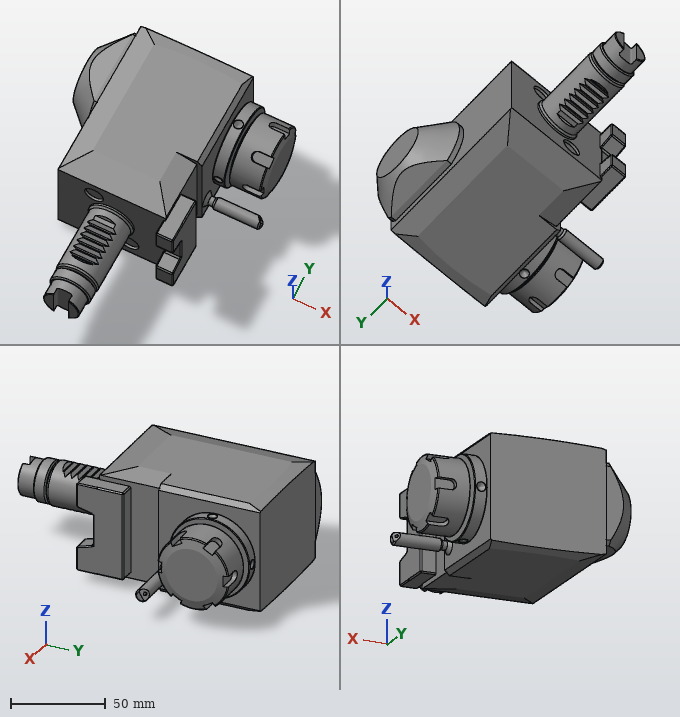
import cadquery as cq
import math


OVERLAP = 3.1

BODY_HALF = 32.0
BODY_LENGTH = 96.0
PLATE_THICK = 3.1
PLATE_START = 36.3
PLATE_CHAMFER = 2.8
PLATE_X = BODY_HALF + PLATE_THICK
BEVEL_ANGLE = math.radians(15)
SIDE_BEVEL = 12.0
SHANK_BEVEL = 16.8
SHANK_BEVEL_DROP = 3.4
REAR_BEVEL = 6.0
REAR_RADIUS = 185.4
REAR_CENTER_X = 6.0
PLUG_RADIUS = 5.5
PLUG_OFFSET = (10.5, 18.2)
PLUG_DEPTH = 1.5

SPINDLE_Y = 70.0

CAP_RADIUS = 32.0
CAP_RIM = 3.1
CAP_TAPER = 15.5
CAP_FLAT_HALF = 23.0
CAP_REAR_FLAT = 24.5

NECK_RADIUS = 17.0
COLLAR_RADIUS = 23.6
COLLAR_START = 35.8
COLLAR_END = 43.3
COLLAR_CHAMFER = 0.5
COLLAR_HOLE_X = 39.4
COLLAR_HOLE_RADIUS = 2.6
COLLAR_HOLES = 4
NUT_RADIUS = 21.0
NUT_START = 44.5
NUT_END = 64.7
NUT_EDGE_CHAMFER = 0.6
NUT_NOSE_LENGTH = 1.5
NUT_FACE_RADIUS = 15.3
NUT_SLOTS = 6
NUT_SLOT_WIDTH = 6.2
NUT_SLOT_START = 52.7
NUT_SLOT_FLOOR = 18.0

PIN_Y = 41.7
PIN_Z = -17.5
PIN_RADIUS = 3.5
PIN_END = 67.8
PIN_TIP_CHAMFER = 1.0
PIN_BASE_RADIUS = 4.8
PIN_NECK_RADIUS = 2.6
PIN_NECK_START = 37.1
PIN_NECK_END = 39.7
PIN_SHANK_START = 41.0
PIN_NOZZLE_X = 68.1
PIN_NOZZLE_OFFSET = 2.0
PIN_NOZZLE_RADIUS = 1.0
PIN_NOZZLE_DEPTH = 2.3

BLOCK_START = 30.7
BLOCK_END = 41.1
BLOCK_TOP = 18.4
BLOCK_BOTTOM = -9.3
BLOCK_HALF = 26.0
BLOCK_CHAMFER = 0.8
LUG_SIDE_CHAMFER = 0.6
GAP_FLOOR = 0.5
GAP_FOOT_Y = -0.6
GAP_HALF_FLOOR = 8.7
GAP_HALF_ROOT = 9.6
GAP_HALF_MOUTH = 11.7

SHANK_END = 58.5
SHANK_RADIUS = 12.5
FLANGE_RADIUS = 13.5
FLANGE_LENGTH = 1.1
FLANGE_TAPER_END = 2.3
SHANK_TAPER_START = 39.7
GROOVE_START = 41.0
GROOVE_END = 42.3
GROOVE_RADIUS = 10.5
GROOVE_SLOPE = 0.5
PILOT_RADIUS = 12.0
PILOT_END = 48.8
PILOT_CHAMFER = 0.8
TANG_RADIUS = 10.7
TANG_CHAMFER = 0.5
TANG_SLOT_WIDTH = 9.0
TANG_SLOT_DEPTH = 4.3
TANG_SLOT_FILLET = 1.0

TOOTH_PITCH = 4.0
TOOTH_COUNT = 6
TOOTH_CREST = 11.0
TOOTH_ROOT = 9.3
TOOTH_FIRST = 11.6
FLAT_START = 7.1
FLAT_ENTRY_SLOPE = 0.5


def box(x0, x1, y0, y1, z0, z1):
    """Axis-aligned box between two corners."""
    return cq.Workplane("XY").box(x1 - x0, y1 - y0, z1 - z0, centered=False).translate((x0, y0, z0))


def both_sides(shape):
    """The shape together with its mirror image in Z."""
    return shape.union(shape.mirror("XY"))


def turned_along_x(points, y, z):
    """Turned part about the line parallel to X through (y, z); points are (x, radius)."""
    x_first = points[0][0]
    x_last = points[-1][0]
    outline = [(x_first, 0)] + points + [(x_last, 0)]
    return cq.Workplane("XY").polyline(outline).close().revolve(360, (0, 0), (1, 0)).translate((0, y, z))


def turned_along_shank(points):
    """Turned part about the shank axis; points are (distance from the body face, radius)."""
    first = points[0][0]
    last = points[-1][0]
    outline = [(0, -first)] + [(radius, -along) for along, radius in points] + [(0, -last)]
    return cq.Workplane("XY").polyline(outline).close().revolve(360, (0, 0), (0, 1))


def side_bevel(y0, y1):
    """Cutter for the bevel along the +X, +Z edge of the body between y0 and y1."""
    drop = SIDE_BEVEL * math.tan(BEVEL_ANGLE)
    corners = [
        (BODY_HALF - SIDE_BEVEL, BODY_HALF),
        (BODY_HALF, BODY_HALF),
        (BODY_HALF, BODY_HALF - drop),
    ]
    wedge = cq.Workplane("XZ").polyline(corners).close().extrude(y0 - y1)
    return wedge.translate((0, y0, 0))


def shank_bevel():
    """Cutter for the bevel along the shank-side, +Z edge of the body."""
    corners = [(0, BODY_HALF), (SHANK_BEVEL, BODY_HALF), (0, BODY_HALF - SHANK_BEVEL_DROP)]
    wedge = cq.Workplane("YZ").polyline(corners).close().extrude(2 * BODY_HALF)
    return wedge.translate((-BODY_HALF, 0, 0))


def rear_bevel():
    """Conical cutter about a Z axis, giving the curved bevel at the rear of the body."""
    reach = BODY_HALF
    corners = [
        (REAR_RADIUS, BODY_HALF),
        (REAR_RADIUS + reach, BODY_HALF),
        (REAR_RADIUS + reach, BODY_HALF - reach * math.tan(BEVEL_ANGLE)),
    ]
    ring = cq.Workplane("XZ").polyline(corners).close().revolve(360, (0, 0), (0, 1))
    center_y = BODY_LENGTH - REAR_BEVEL - REAR_RADIUS
    return ring.translate((REAR_CENTER_X, center_y, 0))


def make_body():
    """Bevelled block with the spindle plate and the two plug recesses."""
    core = box(-BODY_HALF, BODY_HALF, 0, BODY_LENGTH, -BODY_HALF, BODY_HALF)
    plate = box(BODY_HALF, PLATE_X, PLATE_START, BODY_LENGTH, -BODY_HALF, BODY_HALF)
    plate = plate.edges("|Y and >X").chamfer(PLATE_CHAMFER)
    body = core.union(plate)
    body = body.cut(both_sides(side_bevel(0, BODY_LENGTH).mirror("YZ")))
    body = body.cut(both_sides(side_bevel(0, PLATE_START)))
    body = body.cut(both_sides(shank_bevel()))
    body = body.cut(both_sides(rear_bevel()))
    plug_x, plug_z = PLUG_OFFSET
    recesses = cq.Workplane("XZ").pushPoints([(-plug_x, plug_z), (plug_x, -plug_z)])
    return body.cut(recesses.circle(PLUG_RADIUS).extrude(-PLUG_DEPTH))


def make_cap():
    """Conical end cap with two sloped flats in Z and one straight flat at the rear."""
    rim_x = -BODY_HALF - CAP_RIM
    tip_x = rim_x - CAP_TAPER
    profile = [
        (tip_x, CAP_RADIUS - CAP_TAPER),
        (rim_x, CAP_RADIUS),
        (-BODY_HALF + OVERLAP, CAP_RADIUS),
    ]
    cap = turned_along_x(profile, SPINDLE_Y, 0)
    tip_half = CAP_FLAT_HALF - CAP_TAPER * math.tan(BEVEL_ANGLE)
    inner_x = -BODY_HALF + OVERLAP
    envelope = [
        (inner_x, CAP_FLAT_HALF),
        (rim_x, CAP_FLAT_HALF),
        (tip_x, tip_half),
        (tip_x, -tip_half),
        (rim_x, -CAP_FLAT_HALF),
        (inner_x, -CAP_FLAT_HALF),
    ]
    span = CAP_RADIUS + CAP_REAR_FLAT
    prism = cq.Workplane("XZ").polyline(envelope).close().extrude(span)
    return cap.intersect(prism.translate((0, SPINDLE_Y + CAP_REAR_FLAT, 0)))


def make_spindle():
    """Neck, collar and clamping nut."""
    nose_x = NUT_END - NUT_NOSE_LENGTH
    profile = [
        (PLATE_X - OVERLAP, NECK_RADIUS),
        (COLLAR_START, NECK_RADIUS),
        (COLLAR_START, COLLAR_RADIUS - COLLAR_CHAMFER),
        (COLLAR_START + COLLAR_CHAMFER, COLLAR_RADIUS),
        (COLLAR_END - COLLAR_CHAMFER, COLLAR_RADIUS),
        (COLLAR_END, COLLAR_RADIUS - COLLAR_CHAMFER),
        (COLLAR_END, NECK_RADIUS),
        (NUT_START, NECK_RADIUS),
        (NUT_START, NUT_RADIUS - COLLAR_CHAMFER),
        (NUT_START + COLLAR_CHAMFER, NUT_RADIUS),
        (nose_x - NUT_EDGE_CHAMFER, NUT_RADIUS),
        (nose_x, NUT_RADIUS - NUT_EDGE_CHAMFER),
        (NUT_END, NUT_FACE_RADIUS),
    ]
    spindle = turned_along_x(profile, 0, 0)

    hole = cq.Workplane("XY").circle(COLLAR_HOLE_RADIUS).extrude(OVERLAP)
    tip = cq.Workplane(cq.Solid.makeCone(0, COLLAR_HOLE_RADIUS, COLLAR_HOLE_RADIUS))
    drill = hole.union(tip.translate((0, 0, -COLLAR_HOLE_RADIUS)))
    drill = drill.translate((COLLAR_HOLE_X, 0, COLLAR_RADIUS - COLLAR_CHAMFER))
    for index in range(COLLAR_HOLES):
        spindle = spindle.cut(drill.rotate((0, 0, 0), (1, 0, 0), index * 360 / COLLAR_HOLES))

    slot_radius = NUT_SLOT_WIDTH / 2
    slot_height = NUT_RADIUS - NUT_SLOT_FLOOR + OVERLAP
    round_x = NUT_SLOT_START + slot_radius
    slot = cq.Workplane("XY").center(round_x, 0).circle(slot_radius).extrude(slot_height)
    slot = slot.union(box(round_x, NUT_END + OVERLAP, -slot_radius, slot_radius, 0, slot_height))
    slot = slot.translate((0, 0, NUT_SLOT_FLOOR))
    for index in range(NUT_SLOTS):
        angle = 90 + index * 360 / NUT_SLOTS
        spindle = spindle.cut(slot.rotate((0, 0, 0), (1, 0, 0), angle))
    return spindle.translate((0, SPINDLE_Y, 0))


def make_pin():
    """Coolant pin whose sloped nozzle face looks toward the spindle axis."""
    profile = [
        (PLATE_X - OVERLAP, PIN_BASE_RADIUS),
        (PLATE_X, PIN_BASE_RADIUS),
        (PIN_NECK_START, PIN_NECK_RADIUS),
        (PIN_NECK_END, PIN_NECK_RADIUS),
        (PIN_SHANK_START, PIN_RADIUS),
        (PIN_END - PIN_TIP_CHAMFER, PIN_RADIUS),
        (PIN_END, PIN_RADIUS - PIN_TIP_CHAMFER),
    ]
    pin = turned_along_x(profile, 0, 0)
    reach = 2 * PIN_RADIUS
    corners = [
        (PIN_NOZZLE_X - reach, reach),
        (PIN_NOZZLE_X, 0),
        (PIN_NOZZLE_X + reach, reach),
    ]
    tip_cut = cq.Workplane("XY").polyline(corners).close().extrude(reach, both=True)
    nozzle_point = cq.Vector(PIN_NOZZLE_X - PIN_NOZZLE_OFFSET, PIN_NOZZLE_OFFSET, 0)
    nozzle = cq.Solid.makeCylinder(
        PIN_NOZZLE_RADIUS, PIN_NOZZLE_DEPTH, nozzle_point, cq.Vector(-1, -1, 0))
    toward_spindle = math.degrees(math.atan2(-PIN_Z, SPINDLE_Y - PIN_Y))
    pin = pin.cut(tip_cut).cut(cq.Workplane(nozzle))
    return pin.rotate((0, 0, 0), (1, 0, 0), toward_spindle).translate((0, PIN_Y, PIN_Z))


def make_block():
    """Location block: a bar on the body side with two lugs past the shank-side face."""
    bar = box(BODY_HALF - OVERLAP, BLOCK_END, GAP_FLOOR, BLOCK_TOP, -BLOCK_HALF, BLOCK_HALF)
    bar = bar.edges(">X or >Y").chamfer(BLOCK_CHAMFER)
    lug_profile = [
        (BLOCK_BOTTOM, BLOCK_HALF),
        (BLOCK_BOTTOM, GAP_HALF_MOUTH),
        (GAP_FOOT_Y, GAP_HALF_ROOT),
        (GAP_FLOOR, GAP_HALF_FLOOR),
        (GAP_FLOOR + OVERLAP, GAP_HALF_FLOOR),
        (GAP_FLOOR + OVERLAP, BLOCK_HALF),
    ]
    lug = cq.Workplane("YZ").polyline(lug_profile).close().extrude(BLOCK_END - BLOCK_START)
    lug = lug.edges("(|X and <Y) or (|X and >Z)").chamfer(BLOCK_CHAMFER)
    lug = lug.faces("<X or >X").edges().chamfer(LUG_SIDE_CHAMFER)
    return bar.union(both_sides(lug.translate((BLOCK_START, 0, 0))))


def make_serration_cutter():
    """Flat with 90 degree tooth gaps on the +Z side of the shank."""
    half_gap = TOOTH_CREST - TOOTH_ROOT
    crest_width = TOOTH_PITCH - 2 * half_gap
    clear = SHANK_RADIUS + OVERLAP
    entry_y = -FLAT_START + FLAT_ENTRY_SLOPE * (clear - TOOTH_CREST)
    points = [(entry_y, clear), (-FLAT_START, TOOTH_CREST)]
    for index in range(TOOTH_COUNT):
        root_y = -TOOTH_FIRST - index * TOOTH_PITCH
        points.append((root_y + half_gap, TOOTH_CREST))
        points.append((root_y, TOOTH_ROOT))
        points.append((root_y - half_gap, TOOTH_CREST))
    flat_end = root_y - half_gap - crest_width
    points.append((flat_end, TOOTH_CREST))
    points.append((flat_end - (clear - TOOTH_CREST), clear))
    return cq.Workplane("YZ").polyline(points).close().extrude(SHANK_RADIUS, both=True)


def make_shank():
    """Serrated shank with flange, grooved pilot and slotted tang."""
    profile = [
        (-OVERLAP, FLANGE_RADIUS),
        (FLANGE_LENGTH, FLANGE_RADIUS),
        (FLANGE_TAPER_END, SHANK_RADIUS),
        (SHANK_TAPER_START, SHANK_RADIUS),
        (GROOVE_START, PILOT_RADIUS),
        (GROOVE_START + GROOVE_SLOPE, GROOVE_RADIUS),
        (GROOVE_END - GROOVE_SLOPE, GROOVE_RADIUS),
        (GROOVE_END, PILOT_RADIUS),
        (PILOT_END - PILOT_CHAMFER, PILOT_RADIUS),
        (PILOT_END, PILOT_RADIUS - PILOT_CHAMFER),
        (PILOT_END, TANG_RADIUS),
        (SHANK_END - TANG_CHAMFER, TANG_RADIUS),
        (SHANK_END, TANG_RADIUS - TANG_CHAMFER),
    ]
    half_slot = TANG_SLOT_WIDTH / 2
    slot_floor_y = -SHANK_END + TANG_SLOT_DEPTH
    slot = box(-half_slot, half_slot, -SHANK_END, slot_floor_y, -TANG_RADIUS, TANG_RADIUS)
    slot = slot.edges("|Z and >Y").fillet(TANG_SLOT_FILLET)
    shank = turned_along_shank(profile).cut(slot)
    return shank.cut(both_sides(make_serration_cutter()))


result = make_body()
for part in (make_cap(), make_spindle(), make_pin(), make_block(), make_shank()):
    result = result.union(part)